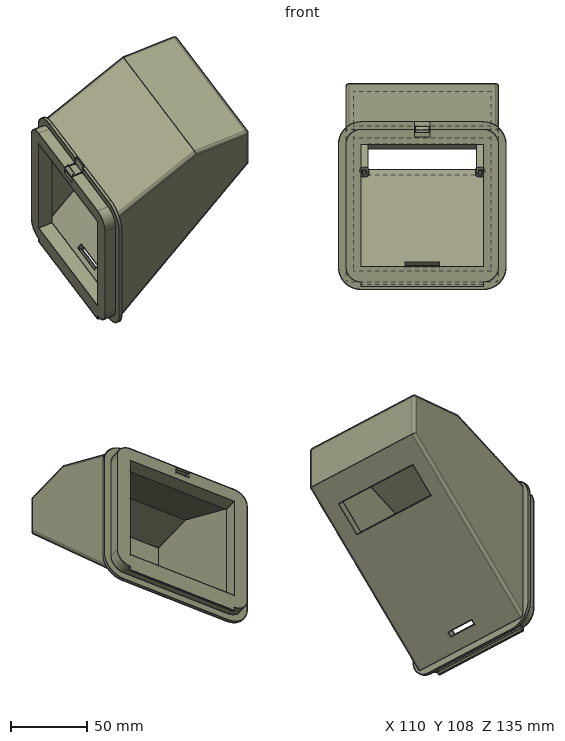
import cadquery as cq
import math

total_depth = 108.0
total_height = 135.0

flange_size = 110.0
spigot_size = 100.0
opening_size = 80.0
spigot_radius = 10.0
spigot_depth = 8.0
flange_thickness = 2.0
flange_overhang = (flange_size - spigot_size) / 2
flange_radius = spigot_radius + flange_overhang
frame_depth = spigot_depth + flange_thickness
center_z = flange_size / 2
spigot_bottom = flange_overhang
spigot_top = flange_overhang + spigot_size

wall = 5.0
roof_length = 40.0
back_height = 30.0
hood_fillet = 2.0
roof_break = total_depth - roof_length
back_bottom = total_height - back_height

window_width = 70.9
window_start = 93.3
window_end = 116.8
slot_width = 22.5
slot_start = 5.0
slot_end = 8.5

boss_spacing = 75.9
boss_position = 89.4
boss_radius = 3.1
boss_height = 3.0
screw_hole_radius = 1.5

recess_width = 10.0
recess_depth = 5.0
tongue_width = 8.6
tongue_thickness = 2.0
hook_length = 2.2
hook_height = 2.0
hook_nose_drop = 0.5
notch_depth = 1.1

lip_length = 2.3
lip_height = 2.8
lip_chamfer = 1.2


def floor_height(y):
    """Height of the outer floor, which runs from the spigot bottom to the back wall."""
    slope = (back_bottom - spigot_bottom) / (total_depth - frame_depth)
    return spigot_bottom + slope * (y - frame_depth)


def roof_height(y):
    """Height of the sloped outer roof, which starts at the spigot top."""
    slope = (total_height - spigot_top) / (roof_break - frame_depth)
    return spigot_top + slope * (y - frame_depth)


def rounded_square(size, radius, y_start, depth):
    """Upright plate with rounded corners, centred on the opening."""
    return (
        cq.Workplane("XZ", origin=(0, y_start, center_z))
        .rect(size, size)
        .extrude(-depth)
        .edges("|Y")
        .fillet(radius)
    )


def extrude_profile(points, width):
    """Prism of a (y, z) outline, centred across X."""
    return cq.Workplane("YZ").polyline(points).close().extrude(width / 2, both=True)


def hood_outline(y_start):
    return [
        (y_start, floor_height(y_start)),
        (total_depth, back_bottom),
        (total_depth, total_height),
        (roof_break, total_height),
        (y_start, roof_height(y_start)),
    ]


def make_hood():
    hood = extrude_profile(hood_outline(frame_depth), spigot_size)
    side_edges = hood.faces("<X or >X").edges("not <Y")
    back_top_edge = hood.edges(">Y and >Z")
    return side_edges.add(back_top_edge).fillet(hood_fillet)


def make_cavity():
    """Inside of the hood, one wall thickness from the outside and open to the frame."""
    outline = cq.Workplane("YZ").polyline(hood_outline(frame_depth - wall)).close()
    inner_width = spigot_size - 2 * wall
    return outline.offset2D(-wall, "intersection").extrude(inner_width / 2, both=True)


def floor_plane():
    """Plane on the inner floor: local Y runs up the slope, the normal points inside."""
    run = total_depth - frame_depth
    rise = back_bottom - spigot_bottom
    inner_z = floor_height(frame_depth) + wall * math.hypot(run, rise) / run
    return cq.Plane(origin=(0, frame_depth, inner_z), xDir=(1, 0, 0), normal=(0, -rise, run))


def floor_opening(width, start, end):
    """Cutter square to the floor, one wall deep with spare length to break through."""
    return (
        cq.Workplane(floor_plane())
        .center(0, (start + end) / 2)
        .rect(width, end - start)
        .extrude(-2 * wall)
    )


def boss_cylinders(radius):
    half = boss_spacing / 2
    return (
        cq.Workplane(floor_plane())
        .pushPoints([(-half, boss_position), (half, boss_position)])
        .circle(radius)
        .extrude(boss_height)
    )


def make_latch_recess():
    """Pocket in the spigot top with a tapered notch in the flange above it."""
    pocket_bottom = spigot_top - recess_depth
    points = [
        (0, pocket_bottom),
        (spigot_depth, pocket_bottom),
        (spigot_depth, spigot_top),
        (spigot_depth + notch_depth, flange_size),
        (0, flange_size),
    ]
    return extrude_profile(points, recess_width)


def make_latch_tongue():
    """Tongue reaching forward from the flange, with a ramped hook at its tip."""
    tongue_bottom = spigot_top - tongue_thickness
    points = [
        (0, tongue_bottom),
        (frame_depth, tongue_bottom),
        (frame_depth, spigot_top),
        (hook_length, spigot_top),
        (hook_length, spigot_top + hook_height),
        (0, spigot_top - hook_nose_drop),
    ]
    return extrude_profile(points, tongue_width)


def make_lip():
    lip_bottom = spigot_bottom - lip_height
    points = [
        (0, spigot_bottom),
        (lip_length, spigot_bottom),
        (lip_length, lip_bottom + lip_chamfer),
        (lip_length - lip_chamfer, lip_bottom),
        (0, lip_bottom),
    ]
    return extrude_profile(points, opening_size)


flange = rounded_square(flange_size, flange_radius, spigot_depth, flange_thickness)
spigot = rounded_square(spigot_size, spigot_radius, 0, frame_depth)
opening_outline = cq.Workplane("XZ", origin=(0, 0, center_z)).rect(opening_size, opening_size)
opening = opening_outline.extrude(-frame_depth)

body = flange.union(spigot).union(make_hood())
body = body.cut(make_cavity()).cut(opening)

body = body.cut(floor_opening(window_width, window_start, window_end))
body = body.cut(floor_opening(slot_width, slot_start, slot_end))

body = body.union(boss_cylinders(boss_radius)).cut(boss_cylinders(screw_hole_radius))

body = body.cut(make_latch_recess()).union(make_latch_tongue())
result = body.union(make_lip())